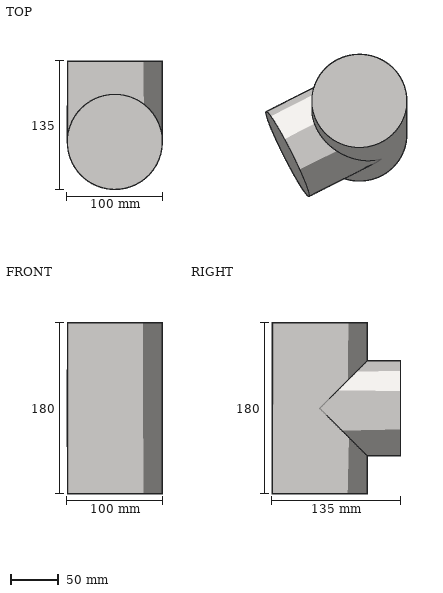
import cadquery as cq

run_length = 180.0
diameter = 100.0
overall_depth = 135.0

radius = diameter / 2
branch_reach = overall_depth - radius


def make_run():
    """Vertical cylinder centred on the origin."""
    return cq.Workplane("XY").circle(radius).extrude(run_length / 2, both=True)


def make_branch():
    """Cylinder from the run axis out to the branch end face, along +Y."""
    return cq.Workplane("XZ").circle(radius).extrude(-branch_reach)


result = make_run().union(make_branch())